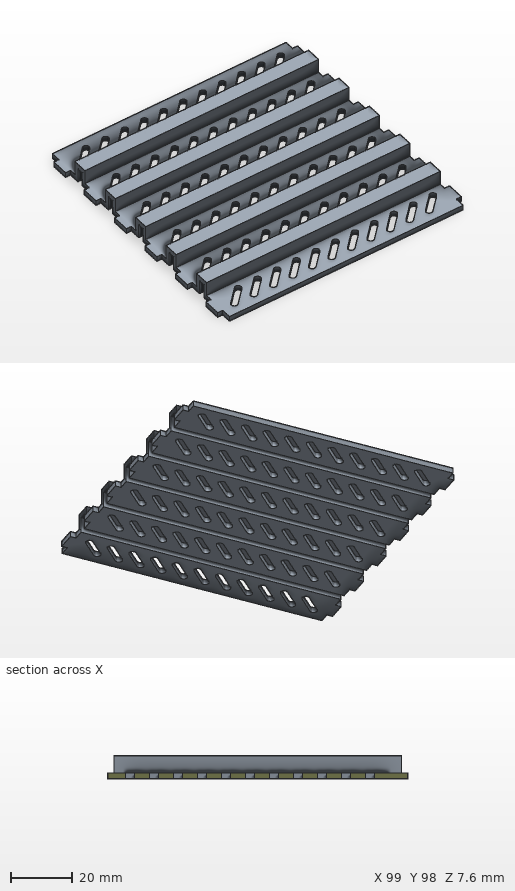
import cadquery as cq

plate_length_x = 99.0
plate_thickness = 2.0
body_length_y = 94.0

rib_count = 5
strip_count = rib_count + 1
pattern_pitch = 17.0
pattern_shift = -0.1

rib_width = 5.6
rib_height = 7.6
rib_roof_thickness = 2.0

channel_width = 2.4
channel_height = rib_height - rib_roof_thickness

tab_width = 6.6
tab_length = 2.0
length_over_tabs = body_length_y + 2 * tab_length

slots_per_strip = 11
slot_pitch = body_length_y / (slots_per_strip + 1)
slot_width = 2.45
slot_end_spacing = 7.7
slot_length = slot_end_spacing + slot_width
slot_angle = -45.0


def spaced_positions(count, pitch, middle=0.0):
    """Evenly spaced coordinates, symmetric about the middle."""
    return [middle + (i - (count - 1) / 2) * pitch for i in range(count)]


channel_centers = spaced_positions(rib_count, pattern_pitch)
rib_centers = spaced_positions(rib_count, pattern_pitch, pattern_shift)
strip_centers = spaced_positions(strip_count, pattern_pitch, pattern_shift)
slot_rows = spaced_positions(slots_per_strip, slot_pitch)


def box_on_base(size_x, size_y, size_z, center_x=0.0):
    """Box standing on Z = 0, centred on Y = 0."""
    return cq.Workplane("XY").center(center_x, 0).box(
        size_x, size_y, size_z, centered=(True, True, False)
    )


def make_plate_with_tabs():
    """Flat plate; each pair of opposite tabs is one bar running through it."""
    plate = box_on_base(plate_length_x, body_length_y, plate_thickness)
    for x in strip_centers:
        plate = plate.union(box_on_base(tab_width, length_over_tabs, plate_thickness, x))
    return plate


def add_ribs(body):
    for x in rib_centers:
        body = body.union(box_on_base(rib_width, body_length_y, rib_height, x))
    return body


def cut_channels(body):
    for x in channel_centers:
        body = body.cut(box_on_base(channel_width, body_length_y, channel_height, x))
    return body


def cut_slots(body):
    slot_centers = [(x, y) for x in strip_centers for y in slot_rows]
    slots = (
        cq.Workplane("XY")
        .pushPoints(slot_centers)
        .slot2D(slot_length, slot_width, slot_angle)
        .extrude(plate_thickness)
    )
    return body.cut(slots)


ribbed_plate = add_ribs(make_plate_with_tabs())
result = cut_slots(cut_channels(ribbed_plate))